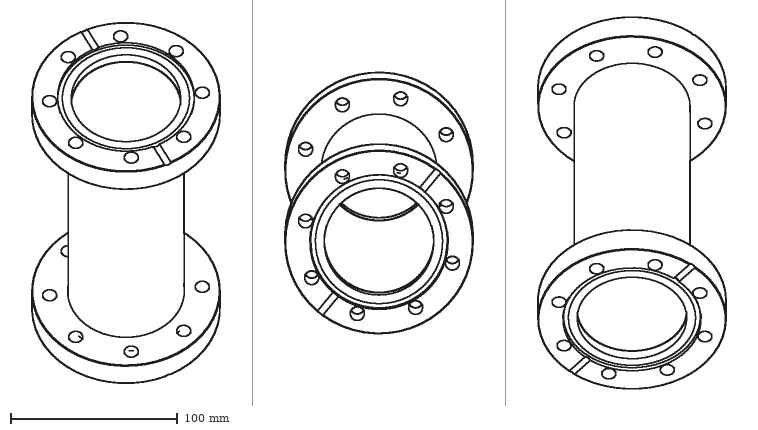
import cadquery as cq
import math

total_length = 210.0
flange_diameter = 113.5
flange_thickness = 17.8
edge_chamfer = 0.5

tube_diameter = 70.0
tube_bore = 66.5

bolt_count = 8
bolt_hole_diameter = 8.5
bolt_circle_diameter = 92.2

flange_bore = 66.0
knife_diameter = 76.6
recess_diameter = 82.3
knife_depth = 1.3
knife_angle = 20.0
tube_end_depth = 8.5

groove_width = 4.2
groove_depth = 1.0

ring_bore = 70.4
ring_seat_diameter = 83.2
insert_diameter = recess_diameter
insert_back_depth = 12.5

knife_height = (recess_diameter - knife_diameter) / 2 * math.tan(math.radians(knife_angle))
recess_depth = knife_depth + knife_height


def disc(diameter, start, end):
    """Solid cylinder on the Z axis between two heights."""
    return cq.Workplane("XY").workplane(offset=start).circle(diameter / 2).extrude(end - start)


def flange_blank():
    """Chamfered disc with bolt holes, outer face at Z = 0 and body below it."""
    blank = disc(flange_diameter, -flange_thickness, 0).edges().chamfer(edge_chamfer)
    holes = (
        cq.Workplane("XY")
        .polarArray(bolt_circle_diameter / 2, 180 / bolt_count, 360, bolt_count)
        .circle(bolt_hole_diameter / 2)
        .extrude(-flange_thickness)
    )
    return blank.cut(holes)


def leak_groove():
    """Cylinder whose lower side forms the leak-check groove in a face at Z = 0."""
    radius = ((groove_width / 2) ** 2 + groove_depth ** 2) / (2 * groove_depth)
    return (
        cq.Workplane("YZ")
        .center(0, radius - groove_depth)
        .circle(radius)
        .extrude(flange_diameter / 2, both=True)
    )


def sealing_recess():
    """Space in front of the knife edge, bounded by its sloping outer flank."""
    profile = [
        (0, 0),
        (recess_diameter / 2, 0),
        (recess_diameter / 2, -recess_depth),
        (knife_diameter / 2, -knife_depth),
        (0, -knife_depth),
    ]
    return cq.Workplane("XZ").polyline(profile).close().revolve(360, (0, 0), (0, 1))


def stepped_bore():
    """Flange bore followed by the socket that receives the tube end."""
    bore = disc(flange_bore, -flange_thickness, 0)
    socket = disc(tube_diameter, -flange_thickness, -tube_end_depth)
    return bore.union(socket)


def make_tube():
    half_length = total_length / 2 - tube_end_depth
    return disc(tube_diameter, -half_length, half_length).cut(disc(tube_bore, -half_length, half_length))


def make_fixed_flange():
    groove = leak_groove().cut(disc(recess_diameter, -flange_thickness, 0))
    return flange_blank().cut(sealing_recess()).cut(stepped_bore()).cut(groove)


def make_rotatable_ring():
    seat = disc(ring_seat_diameter, -insert_back_depth, 0)
    return flange_blank().cut(disc(ring_bore, -flange_thickness, 0)).cut(seat).cut(leak_groove())


def make_insert():
    blank = disc(insert_diameter, -insert_back_depth, 0)
    return blank.cut(sealing_recess()).cut(stepped_bore())


def at_top(body):
    return body.translate((0, 0, total_length / 2))


def at_bottom(body):
    """Turn a body over so that its outer face looks down at the lower end."""
    return body.rotate((0, 0, 0), (1, 0, 0), 180).translate((0, 0, -total_length / 2))


tube = make_tube()
fixed_flange = at_top(make_fixed_flange())
rotatable_ring = at_bottom(make_rotatable_ring())
insert = at_bottom(make_insert())

result = cq.Compound.makeCompound(
    [tube.val(), fixed_flange.val(), rotatable_ring.val(), insert.val()]
)